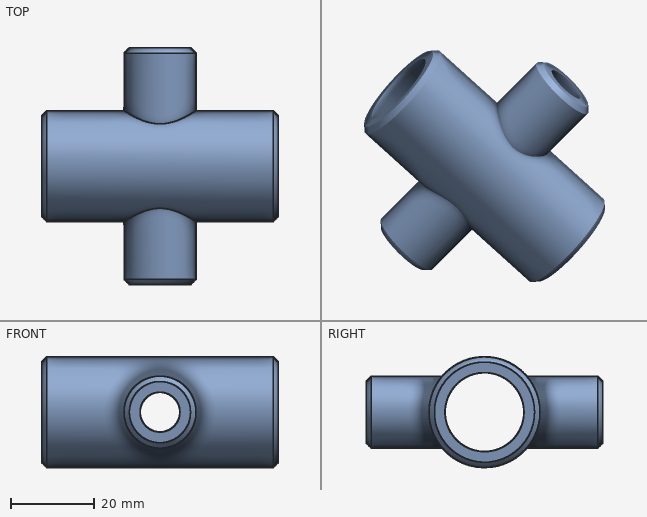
import cadquery as cq

pipe_length = 56.9
end_chamfer = 1.3

run_outer_diameter = 26.67
run_bore_diameter = 18.9

branch_outer_diameter = 17.3
branch_bore_diameter = 9.5


def centred_cylinder(plane, diameter):
    """Cylinder of the pipe length, centred on the origin along the plane's normal."""
    return cq.Workplane(plane).circle(diameter / 2).extrude(pipe_length / 2, both=True)


def chamfered_bar(plane, diameter):
    """Solid bar with both end rims chamfered for welding."""
    return centred_cylinder(plane, diameter).edges("%CIRCLE").chamfer(end_chamfer)


run_plane = "YZ"
branch_plane = "XZ"

body = chamfered_bar(run_plane, run_outer_diameter)
body = body.union(chamfered_bar(branch_plane, branch_outer_diameter))
body = body.cut(centred_cylinder(run_plane, run_bore_diameter))
result = body.cut(centred_cylinder(branch_plane, branch_bore_diameter))